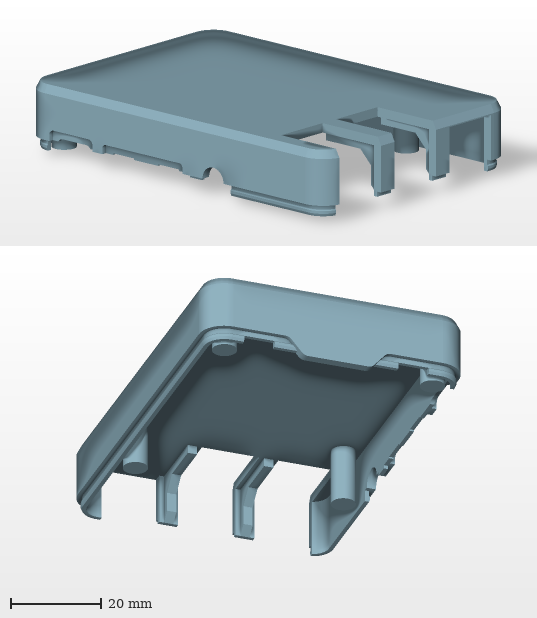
import cadquery as cq
import math

LENGTH = 90.6
WIDTH = 61.4
HEIGHT = 16.85
CORNER_RADIUS = 6.0
WALL = 2.2
RIM_Z = 4.2
ROOF_Z = HEIGHT - WALL
TOP_CHAMFER_HEIGHT = 1.9
TOP_CHAMFER_INSET = 1.0

LIP_INSET = 1.2
LIP_BOTTOM_Z = 1.45
RIDGE_DEPTH = 0.3
RIDGE_LOW_Z = 2.1
RIDGE_HIGH_Z = 2.7
RIDGE_TOP_Z = RIDGE_HIGH_Z + RIDGE_DEPTH

FRONT_GAP_END_X = 15.95
SIDE_NOTCH_Y = 18.2
SIDE_NOTCH_WIDTH = 7.2

LUG_X = 5.3
LUG_WIDTH = 3.4
LUG_BOTTOM_Z = 3.35

TAB_ROOT_WIDTH = 23.2
TAB_TIP_WIDTH = 15.95
TAB_FILLET = 2.0

SLOT_START_X = 27.6
SLOT_WIDTH = 13.6
SLOT_PITCH = 18.0
FIRST_SLOT_Y = -19.1
SLOT_CENTERS_Y = [FIRST_SLOT_Y, FIRST_SLOT_Y + SLOT_PITCH]
LAND_WIDTH = SLOT_PITCH - SLOT_WIDTH
CLOSED_PORT_Y = FIRST_SLOT_Y + 2 * SLOT_PITCH

RIB_THICKNESS = 2.2
RIB_DEPTH = 2.0
RIB_GUSSET = 3.2

POWER_X = -31.35
POWER_RECESS_WIDTH = 13.05
POWER_RECESS_TOP_Z = 6.8
POWER_RECESS_RADIUS = 1.3
POWER_PORT_WIDTH = 10.15
POWER_PORT_DIAMETER = 3.2
POWER_PORT_TOP_Z = 4.9
VIDEO_RECESS_X = -9.8
VIDEO_RECESS_WIDTH = 24.1
VIDEO_RECESS_TOP_Z = 6.4
VIDEO_RECESS_RADIUS = 0.9
VIDEO_PORT_PITCH = 13.5
VIDEO_PORT_WIDTH = 6.3
VIDEO_PORT_TOP_Z = 4.5
JACK_X = 11.5
JACK_DIAMETER = 6.3

BOSS_DIAMETER = 5.6
BOSS_FIRST_X = -39.05
BOSS_PITCH_X = 58.0
BOSS_PITCH_Y = 49.1

FRONT_Y = -WIDTH / 2
INNER_END_X = LENGTH / 2 - WALL


def block(x_range, y_range, z_range):
    """Axis-aligned box between the given limits."""
    x0, x1 = x_range
    y0, y1 = y_range
    z0, z1 = z_range
    return cq.Workplane().box(x1 - x0, y1 - y0, z1 - z0, centered=False).translate((x0, y0, z0))


def rounded_slab(inset, bottom, top, taper=0.0):
    """Slab with the case outline moved inwards by inset; a positive taper narrows it upwards."""
    rectangle = cq.Sketch().rect(LENGTH - 2 * inset, WIDTH - 2 * inset)
    outline = rectangle.vertices().fillet(CORNER_RADIUS - inset)
    return cq.Workplane().workplane(offset=bottom).placeSketch(outline).extrude(top - bottom, taper=taper)


def make_walls():
    chamfer_z = HEIGHT - TOP_CHAMFER_HEIGHT
    chamfer_angle = math.degrees(math.atan2(TOP_CHAMFER_INSET, TOP_CHAMFER_HEIGHT))
    body = rounded_slab(0, RIM_Z, chamfer_z)
    cap = rounded_slab(0, chamfer_z, HEIGHT, chamfer_angle)
    return body.union(cap).cut(rounded_slab(WALL, RIM_Z, ROOF_Z))


def front_lip_strip(start_x, end_x, bottom, top):
    return block((start_x, end_x), (FRONT_Y, FRONT_Y + WALL), (bottom, top))


def make_lip():
    ridge_inset = LIP_INSET - RIDGE_DEPTH
    lead_in_angle = math.degrees(math.atan2(RIDGE_DEPTH, RIDGE_LOW_Z - LIP_BOTTOM_Z))
    back_angle = math.degrees(math.atan2(RIDGE_DEPTH, RIDGE_TOP_Z - RIDGE_HIGH_Z))
    lip = rounded_slab(LIP_INSET, LIP_BOTTOM_Z, RIM_Z)
    lip = lip.union(rounded_slab(LIP_INSET, LIP_BOTTOM_Z, RIDGE_LOW_Z, -lead_in_angle))
    lip = lip.union(rounded_slab(ridge_inset, RIDGE_LOW_Z, RIDGE_HIGH_Z))
    lip = lip.union(rounded_slab(ridge_inset, RIDGE_HIGH_Z, RIDGE_TOP_Z, back_angle))
    lip = lip.cut(rounded_slab(WALL, LIP_BOTTOM_Z, RIM_Z))

    gap_start_x = CORNER_RADIUS - LENGTH / 2
    lug_start_x = LUG_X - LUG_WIDTH / 2
    lug_end_x = LUG_X + LUG_WIDTH / 2
    lip = lip.cut(front_lip_strip(gap_start_x, lug_start_x, LIP_BOTTOM_Z, RIM_Z))
    lip = lip.cut(front_lip_strip(lug_start_x, lug_end_x, LIP_BOTTOM_Z, LUG_BOTTOM_Z))
    lip = lip.cut(front_lip_strip(lug_end_x, FRONT_GAP_END_X, LIP_BOTTOM_Z, RIM_Z))

    port_row = (FIRST_SLOT_Y - SLOT_WIDTH / 2, CLOSED_PORT_Y + SLOT_WIDTH / 2)
    lip = lip.cut(block((INNER_END_X, LENGTH / 2), port_row, (LIP_BOTTOM_Z, RIDGE_TOP_Z)))
    for notch_y in (-SIDE_NOTCH_Y, SIDE_NOTCH_Y):
        y_range = (notch_y - SIDE_NOTCH_WIDTH / 2, notch_y + SIDE_NOTCH_WIDTH / 2)
        lip = lip.cut(block((-LENGTH / 2, WALL - LENGTH / 2), y_range, (LIP_BOTTOM_Z, RIDGE_TOP_Z)))
    return lip


def make_tab():
    """Latch tab: a trapezoid flush with the -X wall, rounded at its tip and root."""
    root = TAB_ROOT_WIDTH / 2
    tip = TAB_TIP_WIDTH / 2
    shoulder = root + CORNER_RADIUS
    shoulder_z = RIM_Z + WALL
    outline = [
        (-shoulder, shoulder_z), (-shoulder, RIM_Z), (-root, RIM_Z), (-tip, 0),
        (tip, 0), (root, RIM_Z), (shoulder, RIM_Z), (shoulder, shoulder_z),
    ]
    tab = cq.Workplane("YZ", origin=(-LENGTH / 2, 0, 0)).polyline(outline).close().extrude(WALL)
    reach = root + TAB_FILLET
    tip_and_root = cq.selectors.BoxSelector(
        (-LENGTH, -reach, -TAB_FILLET), (LENGTH, reach, RIM_Z + TAB_FILLET)
    )
    return tab.edges("|X").edges(tip_and_root).fillet(TAB_FILLET)


def make_rib(slot_y):
    """Bracket under the roof and down the +X wall, set back from the slot edge."""
    start_y = slot_y + SLOT_WIDTH / 2 + (LAND_WIDTH - RIB_THICKNESS) / 2
    post_x = INNER_END_X - RIB_DEPTH
    beam_z = ROOF_Z - RIB_DEPTH
    outline = [
        (SLOT_START_X, ROOF_Z), (SLOT_START_X, beam_z),
        (post_x - RIB_GUSSET, beam_z), (post_x, beam_z - RIB_GUSSET),
        (post_x, RIDGE_TOP_Z + RIB_DEPTH), (INNER_END_X, RIDGE_TOP_Z), (INNER_END_X, ROOF_Z),
    ]
    return cq.Workplane("XZ", origin=(0, start_y, 0)).polyline(outline).close().extrude(-RIB_THICKNESS)


def make_bosses():
    centers = [
        (BOSS_FIRST_X + step * BOSS_PITCH_X, side * BOSS_PITCH_Y / 2)
        for step in (0, 1) for side in (-1, 1)
    ]
    plane = cq.Workplane().workplane(offset=LIP_BOTTOM_Z).pushPoints(centers)
    return plane.circle(BOSS_DIAMETER / 2).extrude(ROOF_Z - LIP_BOTTOM_Z)


def make_end_port(center_y, start_x, top):
    """Cut running from start_x out through the +X wall and lip."""
    y_range = (center_y - SLOT_WIDTH / 2, center_y + SLOT_WIDTH / 2)
    return block((start_x, LENGTH / 2), y_range, (LIP_BOTTOM_Z, top))


def make_recess(center_x, width, top, radius):
    """Shallow pocket in the front wall, open downwards, with rounded upper corners."""
    x_range = (center_x - width / 2, center_x + width / 2)
    pocket = block(x_range, (FRONT_Y, FRONT_Y + LIP_INSET), (RIM_Z, top))
    return pocket.edges("|Y and >Z").fillet(radius)


def front_plane(center_x, center_z):
    return cq.Workplane("XZ", origin=(center_x, FRONT_Y, center_z))


def make_front_ports():
    power_z = POWER_PORT_TOP_Z - POWER_PORT_DIAMETER / 2
    power_recess = make_recess(POWER_X, POWER_RECESS_WIDTH, POWER_RECESS_TOP_Z, POWER_RECESS_RADIUS)
    power_outline = front_plane(POWER_X, power_z).slot2D(POWER_PORT_WIDTH, POWER_PORT_DIAMETER)
    video_recess = make_recess(VIDEO_RECESS_X, VIDEO_RECESS_WIDTH, VIDEO_RECESS_TOP_Z, VIDEO_RECESS_RADIUS)
    jack = front_plane(JACK_X, RIM_Z).circle(JACK_DIAMETER / 2).extrude(-WALL)
    ports = power_recess.union(power_outline.extrude(-WALL)).union(video_recess).union(jack)
    for side in (-1, 1):
        port_x = VIDEO_RECESS_X + side * VIDEO_PORT_PITCH / 2
        x_range = (port_x - VIDEO_PORT_WIDTH / 2, port_x + VIDEO_PORT_WIDTH / 2)
        ports = ports.union(block(x_range, (FRONT_Y, FRONT_Y + WALL), (RIM_Z, VIDEO_PORT_TOP_Z)))
    return ports


result = make_walls().cut(make_front_ports()).union(make_lip()).union(make_tab()).union(make_bosses())
for slot_center_y in SLOT_CENTERS_Y:
    result = result.cut(make_end_port(slot_center_y, SLOT_START_X, HEIGHT)).union(make_rib(slot_center_y))
result = result.cut(make_end_port(CLOSED_PORT_Y, INNER_END_X, ROOF_Z))